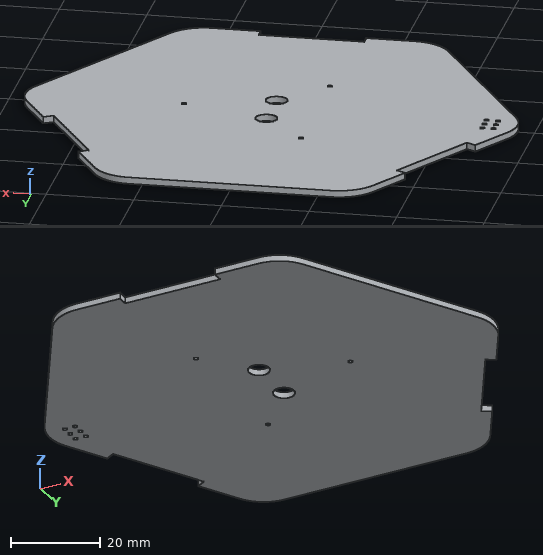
import cadquery as cq
import math

across_flats = 100.0
thickness = 1.6
corner_radius = 10.0

notch_width = 24.0
notch_depth = 2.5
notch_angles = (30, 150, 270)

center_hole_diameter = 5.0
center_hole_spacing = 12.0
small_hole_diameter = 1.0
mount_circle_radius = 20.0
mount_hole_count = 3
pin_pitch = 2.6
pin_columns = 2
pin_rows = 3
pin_center = (-50.0, 0.6)

across_corners = across_flats / math.cos(math.radians(30))


def make_plate():
    """Hexagonal plate resting on Z = 0 with rounded corners."""
    plate = cq.Workplane("XY").polygon(6, across_corners).extrude(thickness)
    return plate.edges("|Z").fillet(corner_radius)


def make_notch(angle):
    """Cutter centred on a side, so that half of it reaches into the plate."""
    cutter = cq.Workplane("XY").center(across_flats / 2, 0)
    cutter = cutter.rect(2 * notch_depth, notch_width).extrude(thickness)
    return cutter.rotate((0, 0, 0), (0, 0, 1), angle)


def drill_holes(plate):
    """Two central holes, a ring of mounting holes and a grid of pin holes."""
    plate = (
        plate.faces(">Z").workplane(origin=(0, 0, thickness))
        .rarray(1.1, center_hole_spacing, 1, 2)
        .hole(center_hole_diameter)
    )
    plate = (
        plate.faces(">Z").workplane(origin=(0, 0, thickness))
        .polarArray(mount_circle_radius, 0, 360, mount_hole_count)
        .hole(small_hole_diameter)
    )
    return (
        plate.faces(">Z").workplane(origin=(*pin_center, thickness))
        .rarray(pin_pitch, pin_pitch, pin_columns, pin_rows)
        .hole(small_hole_diameter)
    )


result = make_plate()
for notch_angle in notch_angles:
    result = result.cut(make_notch(notch_angle))
result = drill_holes(result)